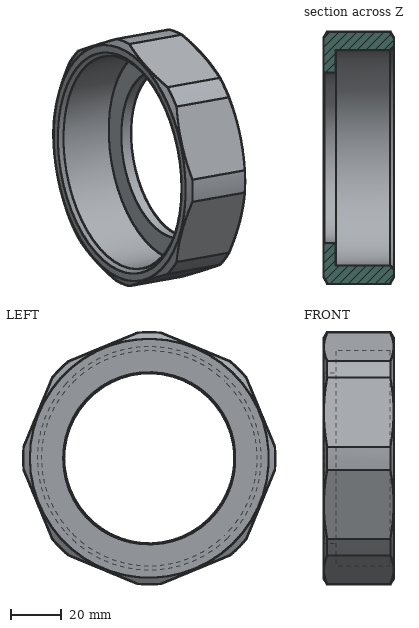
import cadquery as cq
import math

width = 28.0
corner_diameter = 99.5
side_count = 8
across_flats = 95.0
face_diameter = 94.1
chamfer_angle = 30.0
bore_diameter = 67.0
bore_chamfer = 0.4
recess_diameter = 85.0
recess_chamfer = 1.6
lip_thickness = 5.0

corner_radius = corner_diameter / 2
face_radius = face_diameter / 2
bore_radius = bore_diameter / 2
recess_radius = recess_diameter / 2
half_width = width / 2
chamfer_depth = (corner_radius - face_radius) * math.tan(math.radians(chamfer_angle))
half_side_angle = 180 / side_count
recess_start = -half_width + lip_thickness


def revolve_about_x(profile_points):
    """Revolve a closed (x, radius) outline around the X axis."""
    return cq.Workplane("XY").polyline(profile_points).close().revolve(360, (0, 0, 0), (1, 0, 0))


ring = revolve_about_x([
    (-half_width, bore_radius + bore_chamfer),
    (-half_width, face_radius),
    (-half_width + chamfer_depth, corner_radius),
    (half_width - chamfer_depth, corner_radius),
    (half_width, face_radius),
    (half_width, recess_radius + recess_chamfer),
    (half_width - recess_chamfer, recess_radius),
    (recess_start, recess_radius),
    (recess_start, bore_radius),
    (-half_width + bore_chamfer, bore_radius),
])

octagon = (
    cq.Workplane("YZ")
    .polygon(side_count, across_flats, circumscribed=True)
    .extrude(half_width, both=True)
    .rotate((0, 0, 0), (1, 0, 0), half_side_angle)
)

result = ring.intersect(octagon)